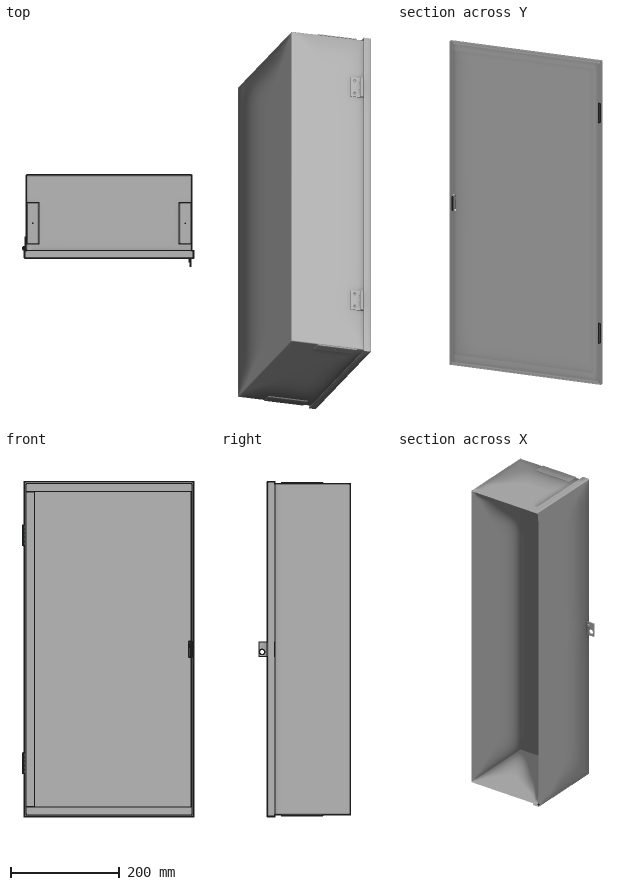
import cadquery as cq


sheet = 1.35
bend_radius = 2.0
box_width = 305.0
box_height = 610.0
box_depth = 152.5
overhang = 4.0
door_rim_depth = 13.0
lip_width = 15.0
seam_width = 0.5

pad_thickness = 2.0
pad_width = 23.0
pad_length = 76.5
pad_inset = 0.5
pad_y = 63.0
pad_edge_radius = 1.55
pad_hole_diameter = 0.8

hinge_offset = 210.0
hinge_height = 37.5
knuckle_diameter = 7.0
knuckle_count = 5
knuckle_gap = 0.5
pin_diameter = 3.15
pin_bore_diameter = 3.3
pin_projection = 1.0
leaf_thickness = 2.0
box_leaf_end = 38.0
door_leaf_end = 3.0
screw_spacing = 25.0
screw_y = 29.5
screw_hole_diameter = 3.65
countersink_diameter = 7.0

hasp_height = 27.0
hasp_thickness = 2.5
hasp_reach = 16.5
hasp_root = 12.5
hasp_hole_diameter = 9.0
hasp_hole_y = -10.5
hasp_hole_z = -5.0
rivet_diameter = 7.0
rivet_height = 2.0
rivet_edge_radius = 1.55
rivet_y = -5.0
rivet_z = 6.0
slot_width = 7.0
slot_height = 31.0
slot_corner_radius = 2.0

door_width = box_width + 2 * overhang
door_height = box_height + 2 * overhang
door_left = -door_width / 2
box_left = -box_width / 2
box_wall_inner_x = box_width / 2 - sheet
hasp_x = box_wall_inner_x - hasp_thickness / 2
knuckle_radius = knuckle_diameter / 2
knuckle_length = hinge_height / knuckle_count
hinge_x = box_left - knuckle_radius
hinge_y = door_rim_depth + knuckle_gap + knuckle_radius


def block(x_range, y_range, z_range):
    """Box between the given limits along each axis."""
    (x0, x1), (y0, y1), (z0, z1) = x_range, y_range, z_range
    return cq.Workplane("XY").box(x1 - x0, y1 - y0, z1 - z0, centered=False).translate((x0, y0, z0))


def centred_block(width, height, y0, y1):
    """Block centred on the Y axis, from y0 back to y1."""
    return block((-width / 2, width / 2), (y0, y1), (-height / 2, height / 2))


def upright_cylinder(diameter, z0, z1):
    """Cylinder on the hinge axis."""
    return cq.Workplane("XY", origin=(hinge_x, hinge_y, z0)).circle(diameter / 2).extrude(z1 - z0)


def hasp_plate():
    return block(
        (hasp_x - hasp_thickness / 2, hasp_x + hasp_thickness / 2),
        (-hasp_reach, hasp_root),
        (-hasp_height / 2, hasp_height / 2),
    )


def make_pad(side, end):
    """Raised pad at one side (-1 left, 1 right) of the box bottom (-1) or top (1)."""
    pad_x = side * (box_width / 2 - pad_inset - pad_width / 2)
    pad_z = end * (box_height + pad_thickness) / 2
    outer, inner = (">Z", "<Z") if end > 0 else ("<Z", ">Z")
    pad = cq.Workplane("XY").box(pad_width, pad_length, pad_thickness)
    pad = pad.faces(outer).edges().fillet(pad_edge_radius)
    pad = pad.faces(inner).workplane().hole(pad_hole_diameter)
    return pad.translate((pad_x, pad_y, pad_z))


def make_box():
    """Box open at the front, lipped on all sides but the right, with a pad near each corner."""
    box = centred_block(box_width, box_height, 0, box_depth)
    box = box.edges("|Y").fillet(bend_radius).faces(">Y").edges().fillet(bend_radius)
    cavity = centred_block(box_width - 2 * sheet, box_height - 2 * sheet, sheet, box_depth - sheet)
    cavity = cavity.edges("|Y").fillet(bend_radius - sheet).faces(">Y").edges().fillet(bend_radius - sheet)
    lip_end_z = box_height / 2 - lip_width
    opening = block((box_left + lip_width, box_wall_inner_x), (0, sheet), (-lip_end_z, lip_end_z))
    box = box.cut(cavity).cut(opening)
    for z in (-lip_end_z, lip_end_z - seam_width):
        seam = block((box_left + sheet, box_left + lip_width), (0, sheet), (z, z + seam_width))
        box = box.cut(seam)
    for side in (-1, 1):
        for end in (-1, 1):
            box = box.union(make_pad(side, end))
    return box


def make_door():
    """Tray-shaped door with a rounded slot for the hasp."""
    door = centred_block(door_width, door_height, -sheet, door_rim_depth)
    door = door.faces("<Y").edges().fillet(bend_radius)
    recess = centred_block(door_width - 2 * sheet, door_height - 2 * sheet, 0, door_rim_depth)
    recess = recess.faces("<Y").edges().fillet(bend_radius - sheet)
    slot = block(
        (hasp_x - slot_width / 2, hasp_x + slot_width / 2),
        (-sheet, 0),
        (-slot_height / 2, slot_height / 2),
    )
    slot = slot.edges("|Y").fillet(slot_corner_radius)
    return door.cut(recess).cut(slot)


def knuckle_spans(first):
    """Z limits of every second knuckle, starting with number `first` from the bottom."""
    bottom = -hinge_height / 2
    return [
        (bottom + i * knuckle_length, bottom + (i + 1) * knuckle_length)
        for i in range(first, knuckle_count, 2)
    ]


def make_leaf(x_range, plate_y_range, strap_y_range, spans):
    """Plate with a knuckle, joined by a strap, over each Z span."""
    leaf = block(x_range, plate_y_range, (-hinge_height / 2, hinge_height / 2))
    for z0, z1 in spans:
        leaf = leaf.union(block(x_range, strap_y_range, (z0, z1)))
        leaf = leaf.union(upright_cylinder(knuckle_diameter, z0, z1))
    return leaf


def make_box_leaf():
    """Hinge leaf on the box side: outer and middle knuckles, two countersunk holes."""
    plate_front = hinge_y + knuckle_radius
    leaf = make_leaf(
        (box_left - leaf_thickness, box_left),
        (plate_front, box_leaf_end),
        (hinge_y, plate_front),
        knuckle_spans(0),
    )
    leaf = leaf.cut(upright_cylinder(pin_bore_diameter, -hinge_height / 2, hinge_height / 2))
    outer_face = cq.Workplane("YZ", origin=(box_left - leaf_thickness, screw_y, 0))
    sink_depth = (countersink_diameter - screw_hole_diameter) / 2
    for z in (-screw_spacing / 2, screw_spacing / 2):
        hole = outer_face.center(0, z).circle(screw_hole_diameter / 2).extrude(leaf_thickness)
        sink = cq.Solid.makeCone(
            countersink_diameter / 2,
            screw_hole_diameter / 2,
            sink_depth,
            cq.Vector(box_left - leaf_thickness, screw_y, z),
            cq.Vector(1, 0, 0),
        )
        leaf = leaf.cut(hole).cut(cq.Workplane(sink))
    return leaf


def make_door_leaf():
    """Hinge leaf inside the door rim: two knuckles and the pin fixed in them."""
    plate_rear = hinge_y - knuckle_radius
    rim_inner_x = door_left + sheet
    leaf = make_leaf(
        (rim_inner_x, rim_inner_x + leaf_thickness),
        (door_leaf_end, plate_rear),
        (plate_rear, hinge_y),
        knuckle_spans(1),
    )
    pin = upright_cylinder(pin_diameter, -hinge_height / 2 - pin_projection, hinge_height / 2)
    return leaf.union(pin)


def make_hasp():
    """Padlock plate fixed inside the box wall, with a rounded rivet head on its left face."""
    hole = (
        cq.Workplane("YZ", origin=(hasp_x, hasp_hole_y, hasp_hole_z))
        .circle(hasp_hole_diameter / 2)
        .extrude(hasp_thickness, both=True)
    )
    rivet = (
        cq.Workplane("YZ", origin=(hasp_x - hasp_thickness / 2, rivet_y, rivet_z))
        .circle(rivet_diameter / 2)
        .extrude(-rivet_height)
        .faces("<X")
        .edges()
        .fillet(rivet_edge_radius)
    )
    return hasp_plate().union(rivet).cut(hole)


box = make_box()
door = make_door()
hasp = make_hasp()

hinge_leaves = []
for make_one_leaf in (make_box_leaf, make_door_leaf):
    upper_leaf = make_one_leaf().translate((0, 0, hinge_offset))
    hinge_leaves.append(upper_leaf.val())
    hinge_leaves.append(upper_leaf.mirror("XY").val())

result = cq.Compound.makeCompound([box.val(), door.val(), hasp.val(), *hinge_leaves])